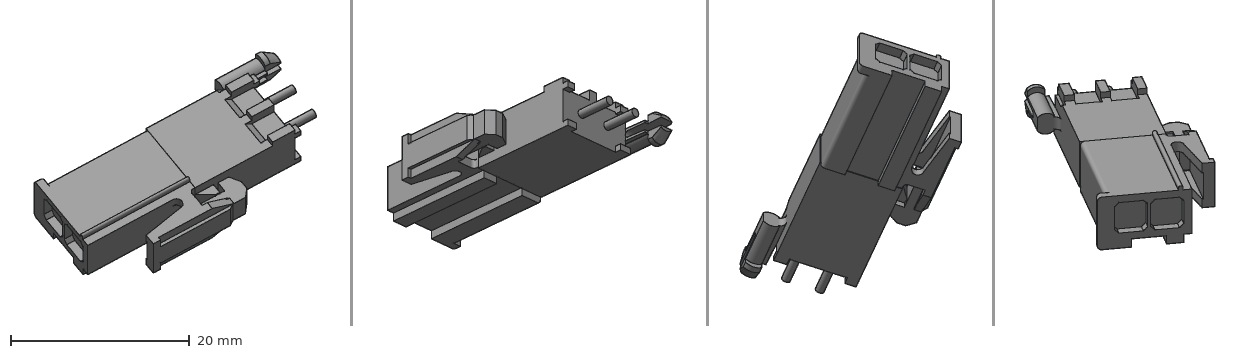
import cadquery as cq

OVERALL_LENGTH = 32.97
MID_Z = 3.73

HEADER_WIDTH = 9.9
HEADER_BOTTOM = 0.9
BODY_TOP = 6.55
SEAM_Y = 14.45
HEADER_REAR = 27.9

RECESS_FLOOR = 5.97
RECESS_FRONT = 24.9
RECESS_RAMP_LENGTH = 0.9
RIB_TOP = 7.3
RIB_SPANS = [(0.4, 1.58), (4.58, 5.67), (8.8, HEADER_WIDTH)]

TAB_LENGTH = 0.8
TAB_HEIGHT = 0.8
LOWER_TAB_SPANS = [(0.0, 1.58), (8.55, HEADER_WIDTH)]

PIN_RADIUS = 0.53
PIN_CENTERS = [2.9, 6.95]
PIN_END = 32.38

PEG_RADIUS = 1.3
PEG_LEFT = -2.55
PEG_RIGHT = -0.55
PEG_CENTER_X = (PEG_LEFT + PEG_RIGHT) / 2
PEG_FRONT = 25.4
BARB_REAR = 31.55
BARB_FRONT = 30.85
BARB_RISE = 0.7
BARB_TIP_DROP = 1.02
BARB_TIP_SHIFT = 0.25
NECK_HALF_HEIGHT = 0.75
NECK_FILLET = 0.7
NECK_TAPER = 0.1
SLOT_MOUTH = 1.02
SLOT_ROOT = 0.8
SLOT_END = 27.83

RECEPTACLE_LEFT = 0.1
RECEPTACLE_RIGHT = HEADER_WIDTH
NOTCH_Z = 1.02
LEFT_FOOT_EDGE = 3.0
RIGHT_FOOT_SPAN = (7.0, 8.97)
EDGE_FILLET = 0.53
LUG_LEFT = -0.92
LUG_LENGTH = 1.02
KEY_WIDTH = 0.53
KEY_CENTER = 8.6
KEY_TOP = 7.1
CAVITY_CENTERS = [2.95, 7.05]
CAVITY_WIDTH = 3.8
CAVITY_MID_Z = 3.8
CAVITY_CHAMFER = 0.5
CAVITY_DEPTH = 1.1

LEVER_INNER = 11.3
LEVER_OUTER = 13.35
PAD_OUTER = 13.78
LEVER_FRONT = 6.23
PAD_REAR = 7.22
LEVER_TIP_INNER = 12.33
BRIDGE_REAR = 13.75
BRIDGE_FILLET = 0.43
ROOT_RADIUS = (LEVER_INNER - HEADER_WIDTH) / 2
ROOT_CENTER_Y = 11.47
TONGUE_HEIGHT = 3.1
TONGUE_OUTER = 12.35
RAMP_REAR = 17.38
HOOK_FRONT = 17.47
HOOK_SHOULDER = 18.92
HOOK_REAR = 19.75
HOOK_GAP = 0.05
SPINE_SHOULDER = 16.6
SPINE_REAR = 17.2
WINDOW_HEIGHT = 3.23
WINDOW_OUTER = 12.45

CATCH_REAR = 16.9
CATCH_SHOULDER = 16.32
CATCH_TIP = 11.18

TONGUE_BOTTOM = MID_Z - TONGUE_HEIGHT / 2
TONGUE_TOP = MID_Z + TONGUE_HEIGHT / 2


def block(x_span, y_span, z_span):
    """Box filling the three given spans."""
    sizes = [span[1] - span[0] for span in (x_span, y_span, z_span)]
    return cq.Workplane().box(*sizes, centered=False).translate((x_span[0], y_span[0], z_span[0]))


def plan_prism(points, z_span):
    """Prism with an XY outline."""
    outline = cq.Workplane("XY", origin=(0, 0, z_span[0])).polyline(points).close()
    return outline.extrude(z_span[1] - z_span[0])


def side_prism(points, x_span):
    """Prism with a YZ outline."""
    outline = cq.Workplane("YZ", origin=(x_span[0], 0, 0)).polyline(points).close()
    return outline.extrude(x_span[1] - x_span[0])


def section_plane(y):
    """Workplane at the given Y, extruding toward +Y; its local x axis points along -X."""
    return cq.Workplane(cq.Plane(origin=(0, y, 0), xDir=(-1, 0, 0), normal=(0, 1, 0)))


def header_block():
    """Header with its stepped top, three ribs and rear tabs."""
    body = block((0, HEADER_WIDTH), (SEAM_Y, HEADER_REAR), (HEADER_BOTTOM, BODY_TOP))
    recess = side_prism(
        [
            (RECESS_FRONT - RECESS_RAMP_LENGTH, BODY_TOP),
            (RECESS_FRONT, RECESS_FLOOR),
            (HEADER_REAR, RECESS_FLOOR),
            (HEADER_REAR, BODY_TOP),
        ],
        (0, HEADER_WIDTH),
    )
    for span in RIB_SPANS:
        recess = recess.cut(block(span, (SEAM_Y, HEADER_REAR), (HEADER_BOTTOM, RIB_TOP)))
    body = body.cut(recess)
    for span in RIB_SPANS:
        body = body.union(block(span, (RECESS_FRONT, HEADER_REAR), (RECESS_FLOOR, RIB_TOP)))
    tab_y = (HEADER_REAR, HEADER_REAR + TAB_LENGTH)
    for span in (RIB_SPANS[0], RIB_SPANS[-1]):
        body = body.union(block(span, tab_y, (BODY_TOP - TAB_HEIGHT, BODY_TOP)))
    for span in LOWER_TAB_SPANS:
        body = body.union(block(span, tab_y, (HEADER_BOTTOM, HEADER_BOTTOM + TAB_HEIGHT)))
    return body


def contact_pin(x):
    """Round pin standing out of the header's rear face."""
    return section_plane(HEADER_REAR).center(-x, MID_Z).circle(PIN_RADIUS).extrude(PIN_END - HEADER_REAR)


def barb_section(side, y):
    """Section of one prong: a half circle raised off the peg's middle; side is 1 above, -1 below."""
    left = PEG_CENTER_X - PEG_RADIUS
    right = PEG_CENTER_X + PEG_RADIUS
    arc_z = MID_Z + side * BARB_RISE
    return (
        section_plane(y)
        .moveTo(-left, MID_Z)
        .lineTo(-left, arc_z)
        .threePointArc((-PEG_CENTER_X, arc_z + side * PEG_RADIUS), (-right, arc_z))
        .lineTo(-right, MID_Z)
        .close()
    )


def barb_prong(side):
    """One prong of the peg head, full height at first and then leaning toward the tip."""
    straight = barb_section(side, BARB_FRONT).extrude(BARB_REAR - BARB_FRONT)
    lean = cq.Vector(BARB_TIP_SHIFT, OVERALL_LENGTH - BARB_REAR, -side * BARB_TIP_DROP)
    tapered = cq.Workplane(cq.Solid.extrudeLinear(barb_section(side, BARB_REAR).wire().val(), [], lean))
    crown_z = MID_Z + side * (BARB_RISE + PEG_RADIUS)
    kept = block(
        (PEG_LEFT, PEG_RIGHT), (BARB_FRONT, OVERALL_LENGTH), (min(MID_Z, crown_z), max(MID_Z, crown_z))
    )
    return straight.union(tapered).intersect(kept)


def peg_neck():
    """Web joining the peg to the header's left side, with a filleted front end."""
    return (
        cq.Workplane("XY", origin=(0, 0, MID_Z - NECK_HALF_HEIGHT))
        .moveTo(-NECK_FILLET, PEG_FRONT)
        .radiusArc((0, PEG_FRONT - NECK_FILLET), NECK_FILLET)
        .lineTo(0, HEADER_REAR)
        .lineTo(-NECK_TAPER, BARB_FRONT)
        .lineTo(-NECK_FILLET, BARB_FRONT)
        .close()
        .extrude(2 * NECK_HALF_HEIGHT)
    )


def peg_slot():
    """Slot that splits the peg into two prongs, narrowing to a round root."""
    root_radius = SLOT_ROOT / 2
    root_y = SLOT_END + root_radius
    return (
        cq.Workplane("YZ", origin=(PEG_LEFT, 0, 0))
        .moveTo(OVERALL_LENGTH, MID_Z + SLOT_MOUTH / 2)
        .lineTo(root_y, MID_Z + root_radius)
        .threePointArc((SLOT_END, MID_Z), (root_y, MID_Z - root_radius))
        .lineTo(OVERALL_LENGTH, MID_Z - SLOT_MOUTH / 2)
        .close()
        .extrude(-PEG_LEFT)
    )


def board_lock_peg():
    """Flat-sided round peg with a barbed, split end."""
    circle = section_plane(PEG_FRONT).center(-PEG_CENTER_X, MID_Z).circle(PEG_RADIUS)
    shank = circle.extrude(BARB_REAR - PEG_FRONT)
    sides = block(
        (PEG_LEFT, PEG_RIGHT), (PEG_FRONT, BARB_REAR), (MID_Z - PEG_RADIUS, MID_Z + PEG_RADIUS)
    )
    return shank.intersect(sides).union(barb_prong(1)).union(barb_prong(-1)).union(peg_neck())


def catch_wedge():
    """Wedge on the header's right side that the latch hook snaps behind."""
    outline = [
        (HEADER_WIDTH, SEAM_Y),
        (CATCH_TIP, CATCH_SHOULDER),
        (CATCH_TIP, CATCH_REAR),
        (HEADER_WIDTH, CATCH_REAR),
    ]
    return plan_prism(outline, (TONGUE_BOTTOM, TONGUE_TOP))


def make_header():
    body = header_block().union(board_lock_peg().cut(peg_slot())).union(catch_wedge())
    for x in PIN_CENTERS:
        body = body.union(contact_pin(x))
    return body


def receptacle_shell():
    """Receptacle block with rounded left edges, feet, key and end lug."""
    shell = block((RECEPTACLE_LEFT, RECEPTACLE_RIGHT), (0, SEAM_Y), (0, BODY_TOP))
    shell = shell.edges("|Y and <X").fillet(EDGE_FILLET)
    lug = block((LUG_LEFT, RECEPTACLE_LEFT + EDGE_FILLET), (0, LUG_LENGTH), (0, BODY_TOP))
    lug = lug.edges("<X and (|Y or >Y)").fillet(EDGE_FILLET)
    shell = shell.union(lug)
    for span in ((LEFT_FOOT_EDGE, RIGHT_FOOT_SPAN[0]), (RIGHT_FOOT_SPAN[1], RECEPTACLE_RIGHT)):
        shell = shell.cut(block(span, (0, SEAM_Y), (0, NOTCH_Z)))
    return shell.union(key_ridge())


def key_ridge():
    """Round-topped polarizing key along the receptacle's top."""
    radius = KEY_WIDTH / 2
    crown_z = KEY_TOP - radius
    span = (KEY_CENTER - radius, KEY_CENTER + radius)
    ridge = block(span, (0, SEAM_Y), (BODY_TOP - radius, crown_z))
    return ridge.union(section_plane(0).center(-KEY_CENTER, crown_z).circle(radius).extrude(SEAM_Y))


def contact_cavity(x):
    """Blind chamfered-square opening in the mating face."""
    cavity = section_plane(0).center(-x, CAVITY_MID_Z).rect(CAVITY_WIDTH, CAVITY_WIDTH).extrude(CAVITY_DEPTH)
    return cavity.edges("|Y").chamfer(CAVITY_CHAMFER)


def latch_lever():
    """Full-height finger lever and the bridge that joins it to the receptacle."""
    root_x = RECEPTACLE_RIGHT + ROOT_RADIUS
    lever = (
        cq.Workplane("XY", origin=(0, 0, NOTCH_Z))
        .moveTo(RECEPTACLE_RIGHT, ROOT_CENTER_Y)
        .threePointArc((root_x, ROOT_CENTER_Y + ROOT_RADIUS), (LEVER_INNER, ROOT_CENTER_Y))
        .lineTo(LEVER_TIP_INNER, LEVER_FRONT)
        .lineTo(PAD_OUTER, LEVER_FRONT)
        .lineTo(PAD_OUTER, PAD_REAR)
        .lineTo(LEVER_OUTER, PAD_REAR)
        .lineTo(LEVER_OUTER, BRIDGE_REAR)
        .lineTo(RECEPTACLE_RIGHT + BRIDGE_FILLET, BRIDGE_REAR)
        .radiusArc((RECEPTACLE_RIGHT, BRIDGE_REAR + BRIDGE_FILLET), BRIDGE_FILLET)
        .close()
        .extrude(BODY_TOP - NOTCH_Z)
    )
    ramp = side_prism(
        [
            (BRIDGE_REAR, NOTCH_Z),
            (SEAM_Y, NOTCH_Z),
            (RAMP_REAR, TONGUE_BOTTOM),
            (RAMP_REAR, TONGUE_TOP),
            (SEAM_Y, BODY_TOP),
            (BRIDGE_REAR, BODY_TOP),
        ],
        (TONGUE_OUTER, LEVER_OUTER),
    )
    window = block(
        (RECEPTACLE_RIGHT, WINDOW_OUTER),
        (LEVER_FRONT, RAMP_REAR),
        (MID_Z - WINDOW_HEIGHT / 2, MID_Z + WINDOW_HEIGHT / 2),
    )
    return lever.union(ramp).cut(window)


def latch_tongue():
    """Thin tongue with the hook at its end and a spine along the lever's outer face."""
    hook_inner = RECEPTACLE_RIGHT + HOOK_GAP
    tongue = [
        (LEVER_INNER, BRIDGE_REAR),
        (LEVER_INNER, HOOK_FRONT),
        (hook_inner, HOOK_FRONT),
        (hook_inner, HOOK_SHOULDER),
        (LEVER_INNER, HOOK_REAR),
        (TONGUE_OUTER, HOOK_REAR),
        (LEVER_OUTER, HOOK_SHOULDER),
        (LEVER_OUTER, BRIDGE_REAR),
    ]
    spine = [
        (LEVER_OUTER, PAD_REAR),
        (PAD_OUTER, PAD_REAR),
        (PAD_OUTER, SPINE_SHOULDER),
        (LEVER_OUTER, SPINE_REAR),
    ]
    height_span = (TONGUE_BOTTOM, TONGUE_TOP)
    return plan_prism(tongue, height_span).union(plan_prism(spine, height_span))


def make_receptacle():
    body = receptacle_shell().union(latch_lever()).union(latch_tongue())
    for x in CAVITY_CENTERS:
        body = body.cut(contact_cavity(x))
    return body


header = make_header()
receptacle = make_receptacle()

result = cq.Compound.makeCompound([header.val(), receptacle.val()])